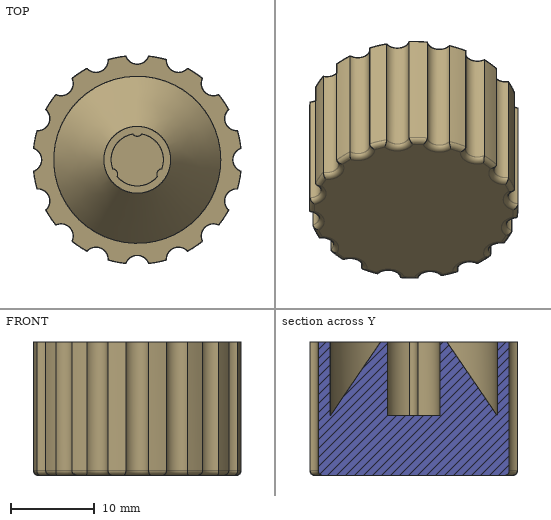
import cadquery as cq
import math

outer_radius = 12.5
height = 16.0
bottom_fillet = 0.6

flute_count = 16
flute_radius = 1.45
flute_floor_radius = 11.45
flute_center_radius = flute_floor_radius + flute_radius

cup_radius = 20.0 / 2
hub_top_radius = 4.0
cup_depth = 8.8

hole_radius = 3.13
hole_depth = cup_depth
key_count = 3
key_radius = 0.65
key_center_radius = 3.45


def polar_points(radius, count, start_angle):
    """Points evenly spaced on a circle, angles in degrees."""
    angles = [math.radians(start_angle + i * 360 / count) for i in range(count)]
    return [(radius * math.cos(a), radius * math.sin(a)) for a in angles]


def fluted_body():
    flutes = (
        cq.Workplane("XY")
        .pushPoints(polar_points(flute_center_radius, flute_count, 0))
        .circle(flute_radius)
        .extrude(height)
    )
    body = cq.Workplane("XY").circle(outer_radius).extrude(height).cut(flutes)
    return body.faces("<Z").edges().fillet(bottom_fillet)


def cup_space():
    """Ring between the cup wall and the hub, running to a sharp edge at its foot."""
    section = (
        cq.Workplane("XZ")
        .moveTo(hub_top_radius, height)
        .lineTo(cup_radius, height)
        .lineTo(cup_radius, height - cup_depth)
        .close()
    )
    return section.revolve(360, (0, 0, 0), (0, 1, 0))


def shaft_hole():
    floor = cq.Workplane("XY").workplane(offset=height - hole_depth)
    keys = (
        floor.pushPoints(polar_points(key_center_radius, key_count, 90))
        .circle(key_radius)
        .extrude(hole_depth)
    )
    return floor.circle(hole_radius).extrude(hole_depth).cut(keys)


result = fluted_body().cut(cup_space()).cut(shaft_hole())